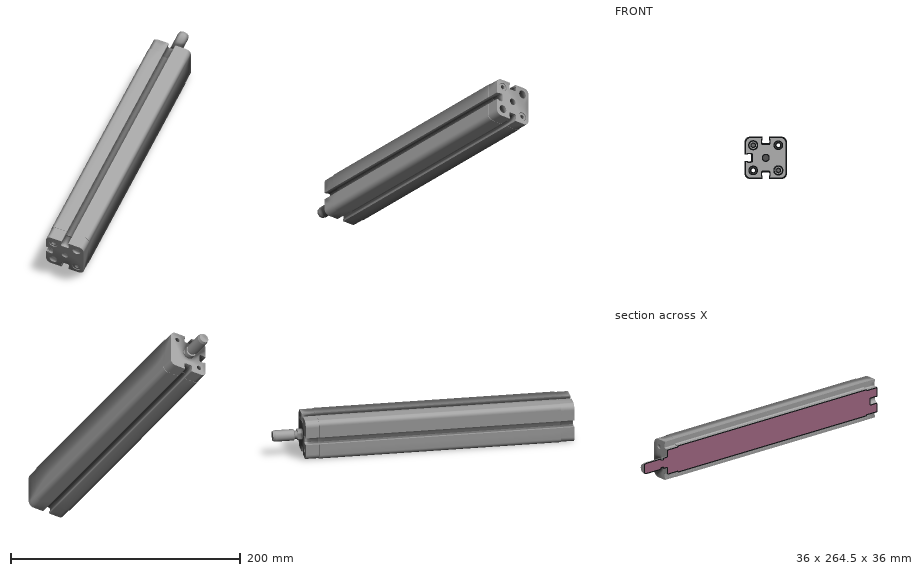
import cadquery as cq
import math


total_length = 264.5
cap_side = 35.7
body_side = 36.0
rod_reach = 26.5
cap_length = 12.0
cap_corner_radius = 5.0
body_corner_radius = 4.2
rear_face = total_length - rod_reach

groove_neck_width = 6.3
groove_inner_width = 7.5
groove_lip = 2.0
cap_groove_depth = 6.3
body_groove_depth = 5.5
groove_floor_chamfer = 0.8
groove_turns = (0, 90, 180)

bolt_pitch = 22.0
mount_bore_diameter = 7.5
mount_bore_depth = 10.5
through_diameter = 4.2
center_bore_diameter = 6.0
center_bore_depth = 8.0
screw_bore_diameter = 8.0
screw_bore_depth = 5.3
screw_head_diameter = 7.5
screw_head_recess = 0.5
socket_across_flats = 3.7
socket_depth = 3.2

rod_diameter = 10.0
rod_shoulder = 4.8
rod_edge_chamfer = 0.3
flat_across = 8.5
flat_length = 3.5
neck_diameter = 7.5
neck_length = 2.0
tip_diameter = 8.7
tip_length = 2.5
thread_run_in = 1.0


def cylinder(x, z, diameter, start, length):
    """Round bar along +Y from Y = start."""
    bar = cq.Workplane("XZ", origin=(x, start, z)).circle(diameter / 2)
    return bar.extrude(-length)


def groove(side, depth, start, length):
    """T-shaped groove cutter for the top side, with chamfered floor corners."""
    top = side / 2
    neck = groove_neck_width / 2
    inner = groove_inner_width / 2
    floor = top - depth
    half = [
        (neck, top),
        (neck, top - groove_lip),
        (inner, top - groove_lip),
        (inner, floor + groove_floor_chamfer),
        (inner - groove_floor_chamfer, floor),
    ]
    mirrored = [(-x, z) for x, z in reversed(half)]
    outline = cq.Workplane("XZ", origin=(0, start, 0)).polyline(half + mirrored)
    return outline.close().extrude(-length)


def profile(side, start, length, corner_radius, groove_depth):
    """Square length of the cylinder with rounded corners and three grooves."""
    block = cq.Workplane("XZ", origin=(0, start, 0)).rect(side, side).extrude(-length)
    block = block.edges("|Y").fillet(corner_radius)
    cutter = groove(side, groove_depth, start, length)
    for turn in groove_turns:
        block = block.cut(cutter.rotate((0, 0, 0), (0, 1, 0), -turn))
    return block


def mounting_hole(x, z):
    """Through hole with a wider bore at the front face."""
    bore = cylinder(x, z, mount_bore_diameter, 0, mount_bore_depth)
    return bore.union(cylinder(x, z, through_diameter, 0, rear_face))


def screw_recess(x, z):
    """Cutter that leaves a socket screw head standing in its round recess."""
    head = cylinder(x, z, screw_head_diameter, screw_head_recess, screw_bore_depth)
    socket_corners = socket_across_flats / math.cos(math.pi / 6)
    face = cq.Workplane("XZ", origin=(x, screw_head_recess, z))
    socket = face.transformed(rotate=(0, 0, 30)).polygon(6, socket_corners)
    recess = cylinder(x, z, screw_bore_diameter, 0, screw_bore_depth).cut(head)
    return recess.union(socket.extrude(-socket_depth))


def piston_rod():
    """Turned rod with thread, neck and shoulder, plus two wrench flats."""
    radius = rod_diameter / 2
    neck = neck_diameter / 2
    shoulder_end = rear_face + rod_shoulder
    neck_end = shoulder_end + neck_length
    outline = [
        (0, rear_face),
        (radius, rear_face),
        (radius, shoulder_end - rod_edge_chamfer),
        (radius - rod_edge_chamfer, shoulder_end),
        (neck, shoulder_end),
        (neck, neck_end),
        (radius, neck_end + thread_run_in),
        (radius, total_length - tip_length),
        (tip_diameter / 2, total_length),
        (0, total_length),
    ]
    rod = cq.Workplane("XY").polyline(outline).close().revolve(360, (0, 0, 0), (0, 1, 0))
    flat_half = flat_across / 2
    flat_end = shoulder_end - flat_length
    flat_outline = [
        (flat_half, shoulder_end),
        (flat_half, flat_end),
        (rod_diameter - flat_half, flat_end - (rod_diameter - flat_across)),
        (rod_diameter - flat_half, shoulder_end),
    ]
    flat = cq.Workplane("XY").polyline(flat_outline).close().extrude(radius, both=True)
    rod = rod.cut(flat).cut(flat.mirror("YZ"))
    return rod


body_length = rear_face - 2 * cap_length
body = profile(body_side, cap_length, body_length, body_corner_radius, body_groove_depth)
result = profile(cap_side, 0, cap_length, cap_corner_radius, cap_groove_depth)
result = result.union(body)
result = result.union(
    profile(cap_side, rear_face - cap_length, cap_length, cap_corner_radius, cap_groove_depth)
)
result = result.union(piston_rod())

result = result.cut(cylinder(0, 0, center_bore_diameter, 0, center_bore_depth))
for direction in (-1, 1):
    offset = direction * bolt_pitch / 2
    result = result.cut(mounting_hole(offset, offset))
    result = result.cut(screw_recess(offset, -offset))